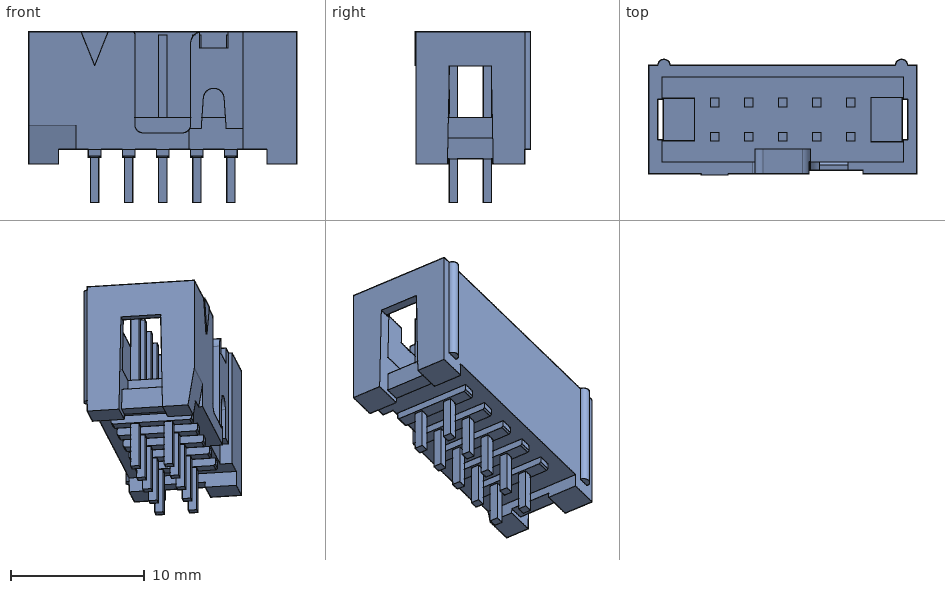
import cadquery as cq


length = 20.02
depth = 8.13
floor_top = -6.39
floor_bottom = -8.79
foot_bottom = -9.89
foot_length = 2.25
cavity_length = 18.0
cavity_depth = 6.33
front = -depth / 2
back = depth / 2
cavity_front = -cavity_depth / 2

groove_length = 18.65
groove_width = 3.0
window_top = -2.56
window_top_width = 3.0
window_bottom_width = 3.3
right_window_extra_width = 0.12
ledge_outer_x = 8.93
ledge_inner_x = 6.6
ledge_top = -7.93
ledge_bottom = -9.49

slot_width = 4.16
slot_bottom = -7.55
slot_back = -2.2
slot_corner_radius = 0.6
slot_lip_radius = 0.18

bay_left = 1.96
bay_right = 5.99
bay_depth = 0.26
latch_bottom = -7.23
latch_centre_x = 3.8
latch_corner_radius = 0.86
latch_notch_width = 2.1
latch_notch_depth = 1.2
latch_notch_bevel = 0.25
arch_radius = 0.78
arch_top = -4.22
arch_foot_width = 1.86

mark_x = -5.09
mark_width = 2.02
mark_height = 2.52
mark_thickness = 0.08
relief_length = 3.52
relief_top = -6.99
relief_depth = 0.48

back_rib_x = 8.87
back_rib_radius = 0.46
back_rib_height = 0.45

pin_count = 5
pin_pitch = 2.55
pin_size = 0.65
pin_top = -0.25
pin_bottom = -12.75
standoff_width = 0.96
standoff_depth = 6.09
standoff_bottom = -9.39
standoff_bevel = 0.12

pin_columns = [(i - (pin_count - 1) / 2) * pin_pitch for i in range(pin_count)]
pin_rows = [-pin_pitch / 2, pin_pitch / 2]


def box(x_min, x_max, y_min, y_max, z_min, z_max):
    """Block between the given limits."""
    size = (x_max - x_min, y_max - y_min, z_max - z_min)
    return cq.Workplane("XY").box(*size, centered=False).translate((x_min, y_min, z_min))


def along_y(outline, y_min, y_max):
    """Extrude an outline drawn on the XZ plane from y_min to y_max."""
    return outline.extrude(-(y_max - y_min)).translate((0, y_min, 0))


def rounded_corner_waste(x_min, x_max, centre_x, radius):
    """Material to remove from the front wall's top edge to leave a rounded corner."""
    corner = box(x_min, x_max, front, cavity_front, -radius, 0)
    cylinder = along_y(cq.Workplane("XZ").center(centre_x, -radius).circle(radius), front, cavity_front)
    return corner.cut(cylinder)


def make_shroud():
    """Open box with a thick floor and a foot across each end."""
    shroud = box(-length / 2, length / 2, front, back, floor_bottom, 0)
    foot_inner_x = length / 2 - foot_length
    shroud = shroud.union(box(-length / 2, -foot_inner_x, front, back, foot_bottom, floor_bottom))
    shroud = shroud.union(box(foot_inner_x, length / 2, front, back, foot_bottom, floor_bottom))
    half_length = cavity_length / 2
    return shroud.cut(box(-half_length, half_length, cavity_front, -cavity_front, floor_top, 0))


def make_groove():
    """Shallow vertical groove in the inner faces of both end walls."""
    half_length = groove_length / 2
    half_width = groove_width / 2
    return box(-half_length, half_length, -half_width, half_width, floor_top, 0)


def make_end_window(extra_width=0.0):
    """Tapered opening in the -X end wall, leaving the ledge standing in it."""
    half_top = (window_top_width + extra_width) / 2
    half_bottom = (window_bottom_width + extra_width) / 2
    opening = (
        cq.Workplane("YZ")
        .moveTo(-half_top, window_top)
        .lineTo(half_top, window_top)
        .lineTo(half_bottom, foot_bottom)
        .lineTo(-half_bottom, foot_bottom)
        .close()
        .extrude(length / 2 - ledge_inner_x)
        .translate((-length / 2, 0, 0))
    )
    ledge = box(-ledge_outer_x, -ledge_inner_x, front, back, ledge_bottom, ledge_top)
    return opening.cut(ledge)


def make_key_slot():
    """Slot in the front wall, rounded at the bottom and sunk into the floor."""
    half_width = slot_width / 2
    slot = box(-half_width, half_width, front, slot_back, slot_bottom, 0)
    slot = slot.edges("|Y and <Z").fillet(slot_corner_radius)
    lip_start = -half_width - slot_lip_radius
    return slot.union(rounded_corner_waste(lip_start, -half_width, lip_start, slot_lip_radius))


def make_latch_bay():
    """Everything removed around the latch: face, foot, arch, top notch and corner."""
    face = front + bay_depth
    bay = box(bay_left, bay_right, front, face, floor_bottom, 0)
    bay = bay.union(box(bay_left, bay_right, front, cavity_front, floor_bottom, latch_bottom))

    arch_centre_z = arch_top - arch_radius
    arch = (
        cq.Workplane("XZ")
        .moveTo(latch_centre_x - arch_foot_width / 2, latch_bottom)
        .lineTo(latch_centre_x - arch_radius, arch_centre_z)
        .threePointArc((latch_centre_x, arch_top), (latch_centre_x + arch_radius, arch_centre_z))
        .lineTo(latch_centre_x + arch_foot_width / 2, latch_bottom)
        .close()
    )
    bay = bay.union(along_y(arch, face, cavity_front))

    notch_left = latch_centre_x - latch_notch_width / 2
    notch = (
        cq.Workplane("YZ")
        .moveTo(front, 0)
        .lineTo(cavity_front, 0)
        .lineTo(cavity_front, -latch_notch_depth - latch_notch_bevel)
        .lineTo(cavity_front - latch_notch_bevel, -latch_notch_depth)
        .lineTo(front, -latch_notch_depth)
        .close()
        .extrude(latch_notch_width)
        .translate((notch_left, 0, 0))
    )
    bay = bay.union(notch)

    latch_left = slot_width / 2
    corner_centre_x = latch_left + latch_corner_radius
    return bay.union(rounded_corner_waste(latch_left, notch_left, corner_centre_x, latch_corner_radius))


def make_corner_relief():
    """Wedge that slopes the front face back towards the bottom of the left foot."""
    return (
        cq.Workplane("YZ")
        .moveTo(front, relief_top)
        .lineTo(front + relief_depth, foot_bottom)
        .lineTo(front, foot_bottom)
        .close()
        .extrude(relief_length)
        .translate((-length / 2, 0, 0))
    )


def make_pin_mark():
    """Raised triangle on the front face pointing down at pin 1."""
    triangle = (
        cq.Workplane("XZ")
        .moveTo(mark_x - mark_width / 2, 0)
        .lineTo(mark_x + mark_width / 2, 0)
        .lineTo(mark_x, -mark_height)
        .close()
    )
    return along_y(triangle, front - mark_thickness, front)


def make_back_ribs():
    """Two half-round vertical ribs on the back wall."""
    centre_y = back + back_rib_height - back_rib_radius
    return (
        cq.Workplane("XY")
        .pushPoints([(-back_rib_x, centre_y), (back_rib_x, centre_y)])
        .circle(back_rib_radius)
        .extrude(floor_bottom)
    )


def make_standoff(x):
    """Rib under the floor across one pin column, bevelled at both ends."""
    half_width = standoff_width / 2
    half_depth = standoff_depth / 2
    rib = box(x - half_width, x + half_width, -half_depth, half_depth, standoff_bottom, floor_bottom)
    return rib.edges("|X and <Z").chamfer(standoff_bevel)


def make_pins():
    """Square pins through the floor."""
    return (
        cq.Workplane("XY")
        .workplane(offset=pin_bottom)
        .pushPoints([(x, y) for x in pin_columns for y in pin_rows])
        .rect(pin_size, pin_size)
        .extrude(pin_top - pin_bottom)
    )


body = make_shroud()
body = body.cut(make_groove())
body = body.cut(make_end_window())
body = body.cut(make_end_window(right_window_extra_width).mirror("YZ"))
body = body.cut(make_key_slot())
body = body.cut(make_latch_bay())
body = body.cut(make_corner_relief())
body = body.union(make_pin_mark())
body = body.union(make_back_ribs())
for column_x in pin_columns:
    body = body.union(make_standoff(column_x))
result = body.union(make_pins())